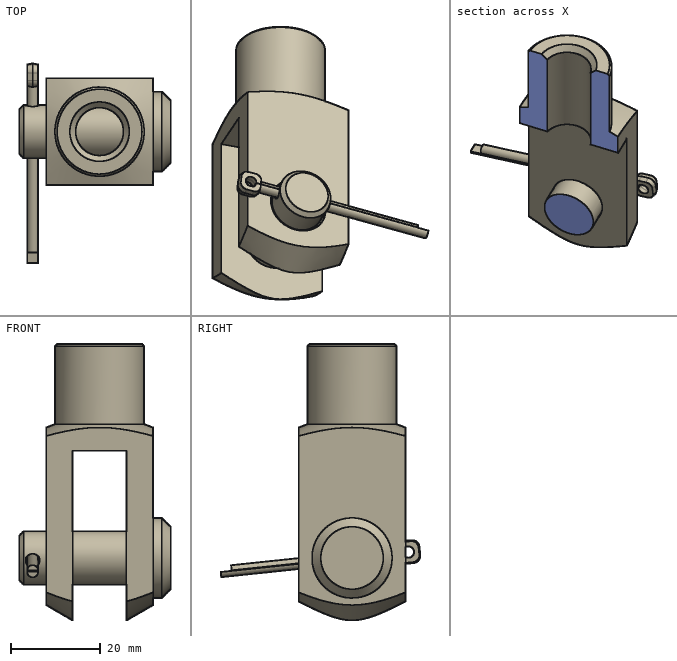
import cadquery as cq
import math

total_height = 62.0
fork_width = 24.0
fork_height = 44.0
slot_width = 12.0
slot_height = 38.0
shank_diameter = 20.0
shank_chamfer = 0.5
bore_diameter = 10.7
bore_chamfer = 1.3
shoulder_angle = 21.0
tip_angle = 30.0
envelope_margin = 0.6

pin_diameter = 12.0
pin_height = 14.0
pin_hole_chamfer = 0.5
pin_stub = 6.0
pin_end_chamfer = 1.0
head_diameter = 18.0
head_thickness = 3.95
head_chamfer = 2.0

split_pin_x = -(fork_width + pin_stub) / 2
split_pin_tilt = 6.0
split_pin_diameter = 2.5
split_pin_hole_diameter = 3.1
split_gap = 0.05
short_leg_length = 27.15
long_leg_length = 29.65
eye_distance = 12.7
eye_size = 5.2
eye_corner_radius = 1.75
eye_hole_diameter = 2.5
eye_rim_taper = 12.0


def x_cylinder(start, length, diameter):
    """Cylinder along +X on the clevis pin axis."""
    plane = cq.Workplane("YZ", origin=(start, 0, pin_height))
    return plane.circle(diameter / 2).extrude(length)


def place_split_pin(shape):
    """Tilt a shape lying along Y and move it to the split pin position."""
    tilted = shape.rotate((0, 0, 0), (1, 0, 0), split_pin_tilt)
    return tilted.translate((split_pin_x, 0, pin_height))


def fork_envelope():
    """Turned outline that bevels the corners of the square fork."""
    shank_radius = shank_diameter / 2
    corner_radius = fork_width / math.sqrt(2)
    outer_radius = corner_radius + envelope_margin
    tip_radius = slot_width / 2
    tip_rise = (outer_radius - tip_radius) * math.tan(math.radians(tip_angle))
    shoulder_drop = (outer_radius - shank_radius) * math.tan(math.radians(shoulder_angle))
    outline = cq.Workplane("XZ").polyline([
        (0, 0),
        (tip_radius, 0),
        (outer_radius, tip_rise),
        (outer_radius, fork_height - shoulder_drop),
        (shank_radius, fork_height),
        (0, fork_height),
    ]).close()
    return outline.revolve(360, (0, 0, 0), (0, 1, 0))


def make_clevis():
    block = cq.Workplane("XY").rect(fork_width, fork_width).extrude(fork_height)
    fork = block.intersect(fork_envelope())

    shank = (
        cq.Workplane("XY", origin=(0, 0, fork_height))
        .circle(shank_diameter / 2)
        .extrude(total_height - fork_height)
        .faces(">Z")
        .chamfer(shank_chamfer)
    )
    slot = cq.Workplane("XY").rect(slot_width, fork_width).extrude(slot_height)
    clevis = fork.union(shank).cut(slot)

    bore_radius = bore_diameter / 2
    bore = cq.Workplane("XY", origin=(0, 0, slot_height)).circle(bore_radius).extrude(
        total_height - slot_height)
    bore_mouth = cq.Solid.makeCone(
        bore_radius, bore_radius + bore_chamfer, bore_chamfer,
        pnt=cq.Vector(0, 0, total_height - bore_chamfer))
    clevis = clevis.cut(bore).cut(cq.Workplane(obj=bore_mouth))

    pin_radius = pin_diameter / 2
    pin_hole = x_cylinder(-fork_width / 2, fork_width, pin_diameter)
    pin_hole_mouth = cq.Solid.makeCone(
        pin_radius + pin_hole_chamfer, pin_radius, pin_hole_chamfer,
        pnt=cq.Vector(-fork_width / 2, 0, pin_height), dir=cq.Vector(1, 0, 0))
    return clevis.cut(pin_hole).cut(cq.Workplane(obj=pin_hole_mouth))


def make_clevis_pin():
    shaft_start = -fork_width / 2 - pin_stub
    shaft = x_cylinder(shaft_start, fork_width + pin_stub, pin_diameter)
    shaft = shaft.faces("<X").chamfer(pin_end_chamfer)
    head = x_cylinder(fork_width / 2, head_thickness, head_diameter)
    head = head.faces(">X").chamfer(head_chamfer)
    cross_hole = (
        cq.Workplane("XZ")
        .circle(split_pin_hole_diameter / 2)
        .extrude(pin_diameter, both=True)
    )
    return shaft.union(head).cut(place_split_pin(cross_hole))


def split_pin_eye():
    """Rounded square eye whose rim rises to a ridge at mid thickness."""
    def half(direction):
        outline = cq.Sketch().rect(eye_size, eye_size).vertices().fillet(eye_corner_radius)
        return (
            cq.Workplane("YZ", origin=(0, eye_distance, 0))
            .placeSketch(outline)
            .extrude(direction * split_pin_diameter / 2, taper=eye_rim_taper)
        )

    return half(1).union(half(-1))


def make_split_pin():
    radius = split_pin_diameter / 2
    legs = cq.Workplane("XZ", origin=(0, eye_distance, 0)).circle(radius).extrude(
        eye_distance + long_leg_length)
    short_leg_trim = cq.Workplane("XY").box(
        split_pin_diameter, long_leg_length - short_leg_length, radius,
        centered=(True, False, False)).translate((0, -long_leg_length, 0))
    eye_hole = cq.Workplane("YZ", origin=(0, eye_distance, 0)).circle(
        eye_hole_diameter / 2).extrude(radius, both=True)
    gap = cq.Workplane("XY").box(
        split_pin_diameter, eye_distance + long_leg_length, split_gap,
        centered=(True, False, True)).translate((0, -long_leg_length, 0))
    split_pin = legs.union(split_pin_eye()).cut(short_leg_trim).cut(eye_hole).cut(gap)
    return place_split_pin(split_pin)


clevis = make_clevis()
clevis_pin = make_clevis_pin()
split_pin = make_split_pin()

result = cq.Compound.makeCompound([
    clevis.solids().val(),
    clevis_pin.solids().val(),
    split_pin.solids().val(),
])